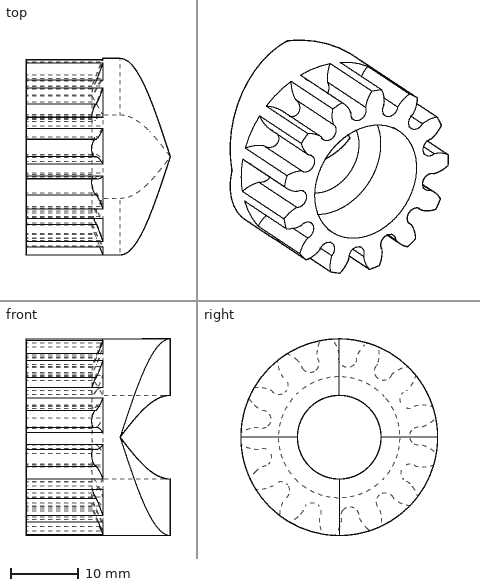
import cadquery as cq
import math

length = 21.4
outer_radius = 14.6
margin = 1.45

hole_radius = 6.2
counterbore_radius = 9.0
counterbore_depth = 9.78
bore_cone_length = 1.6

gap_count = 13
gap_phase = 6.1
root_radius = 10.42
neck_radius = 12.18
neck_half_angle = 6.1
flank_radius = 13.5
flank_half_angle = 7.8
tip_half_angle = 10.4

gap_length_outer = 11.4
gap_length_root = 9.72

jaw_height = 7.45
valley_x = length - jaw_height
flank_turn = 90.0


def polar(radius, angle):
    """Point at a radius, with the angle in degrees from the second sketch axis."""
    return radius * math.sin(math.radians(angle)), radius * math.cos(math.radians(angle))


def mirrored(point):
    return -point[0], point[1]


def make_sleeve():
    body = cq.Workplane("YZ").circle(outer_radius).extrude(length)
    cone_end = counterbore_depth + bore_cone_length
    bore = (
        cq.Workplane("XY")
        .moveTo(0, 0)
        .lineTo(0, counterbore_radius)
        .lineTo(counterbore_depth, counterbore_radius)
        .lineTo(cone_end, hole_radius)
        .lineTo(length, hole_radius)
        .lineTo(length, 0)
        .close()
        .revolve(360, (0, 0, 0), (1, 0, 0))
    )
    return body.cut(bore)


def make_gap():
    """One tooth gap: a round root, a narrow neck and flanks opening outward."""
    neck = polar(neck_radius, neck_half_angle)
    flank = polar(flank_radius, flank_half_angle)
    tip = polar(outer_radius, tip_half_angle)
    beyond = (tip[0], outer_radius + margin)
    prism = (
        cq.Workplane("YZ")
        .moveTo(*neck)
        .threePointArc((0, root_radius), mirrored(neck))
        .threePointArc(mirrored(flank), mirrored(tip))
        .lineTo(*mirrored(beyond))
        .lineTo(*beyond)
        .lineTo(*tip)
        .threePointArc(flank, neck)
        .close()
        .extrude(gap_length_outer + margin)
    )
    slope = (gap_length_outer - gap_length_root) / (outer_radius - root_radius)
    runout = (
        cq.Workplane("XY")
        .moveTo(0, 0)
        .lineTo(0, outer_radius + margin)
        .lineTo(gap_length_outer + slope * margin, outer_radius + margin)
        .lineTo(gap_length_outer - slope * outer_radius, 0)
        .close()
        .revolve(360, (0, 0, 0), (1, 0, 0))
    )
    return prism.intersect(runout)


def make_twisted_half(side, turn):
    """Half disc on one side of the XY plane, twisted about X from the valleys to the ridges."""
    reach = outer_radius + margin
    return (
        cq.Workplane("YZ", origin=(valley_x, 0, 0))
        .moveTo(-reach, 0)
        .threePointArc((0, side * reach), (reach, 0))
        .close()
        .twistExtrude(jaw_height, turn)
    )


def make_notch(side):
    """Space between the jaws on one side of Y, bounded by two opposite helical flanks."""
    lower = make_twisted_half(-1, side * flank_turn)
    upper = make_twisted_half(1, -side * flank_turn)
    return lower.intersect(upper)


result = make_sleeve()

gap = make_gap()
for index in range(gap_count):
    angle = index * 360 / gap_count - gap_phase
    result = result.cut(gap.rotate((0, 0, 0), (1, 0, 0), angle))

for side in (-1, 1):
    result = result.cut(make_notch(side))